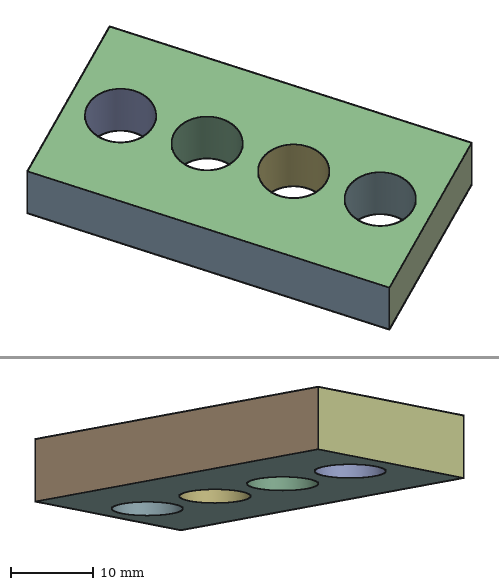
import cadquery as cq

length = 47.75
width = 25.4
thickness = 7.75

hole_count = 4
hole_diameter = 8.65
hole_pitch = 11.4
first_hole_from_left = 6.88

first_hole_x = first_hole_from_left - length / 2
hole_centers = [(first_hole_x + i * hole_pitch, 0) for i in range(hole_count)]

plate = cq.Workplane("XY").box(length, width, thickness)
result = plate.faces(">Z").workplane().pushPoints(hole_centers).hole(hole_diameter)